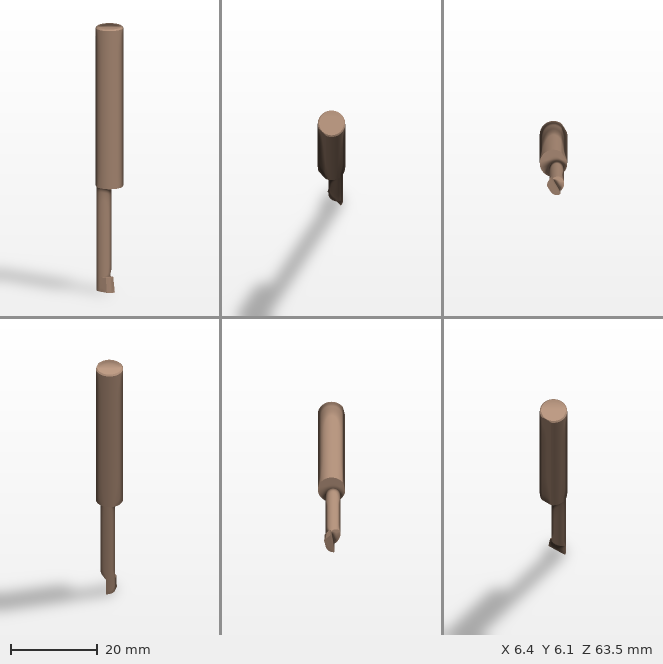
import cadquery as cq

total_length = 63.5
shank_radius = 3.2
shank_bottom = 25.4
shank_flat_y = 2.9
top_chamfer_radial = 0.3
top_chamfer_height = 0.3
neck_radius = 1.7
tooth_height = 3.8
relief_start = 4.45
relief_end = 6.0
end_slope_x = 0.04
end_slope_y = 0.1
margin = 0.65

neck_x = neck_radius - shank_radius
tooth_heel = (0.2, -0.05, -neck_radius)
tooth_relief = (0.75, 0.4, -1.15)
tooth_edge = (1.4, 0.95, 0.0)


def make_shank():
    """Round shank with a chamfered top and a full-length flat on +Y."""
    profile = (
        cq.Workplane("XZ")
        .moveTo(0, shank_bottom)
        .lineTo(shank_radius, shank_bottom)
        .lineTo(shank_radius, total_length - top_chamfer_height)
        .lineTo(shank_radius - top_chamfer_radial, total_length)
        .lineTo(0, total_length)
        .close()
    )
    shank = profile.revolve(360, (0, 0, 0), (0, 1, 0))
    beyond_flat = cq.Workplane("XY").box(
        2 * shank_radius, shank_radius, total_length, centered=(True, False, False)
    ).translate((0, shank_flat_y, 0))
    return shank.cut(beyond_flat)


def make_neck():
    """Round neck with its back half removed at the tip by a sloped relief."""
    neck = cq.Workplane("XY").center(neck_x, 0).circle(neck_radius).extrude(shank_bottom + margin)
    relief = (
        cq.Workplane("YZ", origin=(-2 * shank_radius, 0, 0))
        .moveTo(0, -margin)
        .lineTo(0, relief_start)
        .lineTo(neck_radius, relief_end)
        .lineTo(neck_radius + margin, relief_end)
        .lineTo(neck_radius + margin, -margin)
        .close()
        .extrude(4 * shank_radius)
    )
    return neck.cut(relief)


def make_tooth():
    """Side tooth with faceted clearance, narrowing toward its top."""
    leaning = [tooth_heel, tooth_relief, tooth_edge]
    root = [(neck_x, 0), (neck_x, -neck_radius)]
    bottom = root + [(low_x, y) for low_x, high_x, y in leaning]
    top = root + [(high_x, y) for low_x, high_x, y in leaning]
    return (
        cq.Workplane("XY")
        .polyline(bottom)
        .close()
        .workplane(offset=tooth_height)
        .polyline(top)
        .close()
        .loft(ruled=True)
    )


def make_end_cutter():
    """Block below the end face, which rises from the cutting corner toward -X and -Y."""
    end_plane = cq.Plane(
        origin=(tooth_edge[0], 0, 0),
        xDir=(1, 0, -end_slope_x),
        normal=(end_slope_x, end_slope_y, 1),
    )
    return cq.Workplane(end_plane).rect(4 * shank_radius, 4 * shank_radius).extrude(-2 * margin)


result = make_shank().union(make_neck()).union(make_tooth()).cut(make_end_cutter())